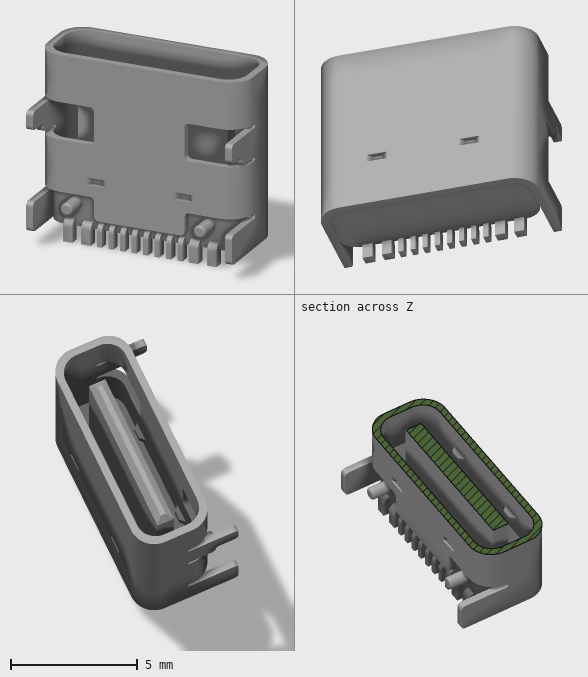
import cadquery as cq


SHELL_LENGTH = 8.94
SHELL_DEPTH = 3.22
SHELL_HEIGHT = 7.3
WALL = 0.3
OUTER_CORNER_RADIUS = 1.0
INNER_CORNER_RADIUS = 0.805
FRONT_LIP_HEIGHT = 0.5

WINDOW_INNER_X = 1.97
WINDOW_RADIUS = 0.2
WINDOW_REACH = 1.21
MID_WINDOW_BOTTOM = 3.71
MID_WINDOW_TOP = 5.3
LOW_WINDOW_TOP = 1.49
SLIT_END_RADIUS = 0.09

TAB_REACH = 0.99
TAB_RADIUS = 0.2
MID_TAB_TOP = 5.105
MID_TAB_BOTTOM = 4.3
LOW_TAB_TOP = 1.25

DIMPLE_X = 1.9
DIMPLE_BOTTOM = 1.985
DIMPLE_HEIGHT = 0.31
DIMPLE_TIP_WIDTH = 0.41
DIMPLE_PRESS = 0.2

HOUSING_BOTTOM = 0.04
HOUSING_TOP = LOW_WINDOW_TOP
HOUSING_BACK_GAP = 0.04
TONGUE_LENGTH = 6.49
TONGUE_THICKNESS = 0.715
TONGUE_TOP = 6.17
TONGUE_CHAMFER = 0.25

PEG_X = 2.89
PEG_Z = 1.05
PEG_RADIUS = 0.26
PEG_REACH = 0.65
PEG_ROUNDING = 0.1

TERMINAL_DROP = 0.6
TERMINAL_THICKNESS = 0.41
TERMINAL_SETBACK = 0.03
BEND_RADIUS = 0.3
SIGNAL_WIDTH = 0.215
SIGNAL_PITCH = 0.5
SIGNAL_COUNT = 8
POWER_WIDTH = 0.41
POWER_X = (2.33, 3.13)

SIDES = (-1, 1)
HALF_LENGTH = SHELL_LENGTH / 2
INNER_HALF_LENGTH = HALF_LENGTH - WALL
FRONT_Y = -SHELL_DEPTH / 2
INNER_FRONT_Y = FRONT_Y + WALL
INNER_BACK_Y = -INNER_FRONT_Y
WINDOW_END_Y = FRONT_Y + WINDOW_REACH
TAB_TIP_Y = FRONT_Y - TAB_REACH
MID_TAB_ROOT_BOTTOM = MID_TAB_BOTTOM - 2 * TAB_RADIUS


def block(x_range, y_range, z_range):
    """Box spanning the given (low, high) ranges."""
    size = [high - low for low, high in (x_range, y_range, z_range)]
    corner = (x_range[0], y_range[0], z_range[0])
    return cq.Workplane("XY").box(*size, centered=False).translate(corner)


def on_both_sides(body):
    """The body together with its mirror image across the YZ plane."""
    return body.union(body.mirror("YZ"))


def tube_blank(length, depth, height, radius):
    """Upright prism with four rounded vertical corners."""
    return cq.Workplane("XY").rect(length, depth).extrude(height).edges("|Z").fillet(radius)


def make_shell():
    outside = tube_blank(SHELL_LENGTH, SHELL_DEPTH, SHELL_HEIGHT, OUTER_CORNER_RADIUS)
    inside = tube_blank(
        2 * INNER_HALF_LENGTH, 2 * INNER_BACK_Y, SHELL_HEIGHT, INNER_CORNER_RADIUS
    )
    return outside.cut(inside)


def mid_window():
    opening = block(
        (WINDOW_INNER_X, INNER_HALF_LENGTH),
        (FRONT_Y, WINDOW_END_Y),
        (MID_WINDOW_BOTTOM, MID_WINDOW_TOP),
    )
    return opening.edges("|Y and <X").fillet(WINDOW_RADIUS)


def low_opening():
    """Both lower windows and the gap under the front wall, as one opening."""
    opening = (
        cq.Workplane("XZ", origin=(0, WINDOW_END_Y, 0))
        .moveTo(-INNER_HALF_LENGTH, 0)
        .lineTo(INNER_HALF_LENGTH, 0)
        .lineTo(INNER_HALF_LENGTH, LOW_WINDOW_TOP)
        .lineTo(WINDOW_INNER_X, LOW_WINDOW_TOP)
        .lineTo(WINDOW_INNER_X, FRONT_LIP_HEIGHT)
        .lineTo(-WINDOW_INNER_X, FRONT_LIP_HEIGHT)
        .lineTo(-WINDOW_INNER_X, LOW_WINDOW_TOP)
        .lineTo(-INNER_HALF_LENGTH, LOW_WINDOW_TOP)
        .close()
        .extrude(WINDOW_REACH)
    )
    corner_limit_x = WINDOW_INNER_X + WINDOW_RADIUS
    window_corners = cq.selectors.BoxSelector(
        (-corner_limit_x, FRONT_Y, 0),
        (corner_limit_x, WINDOW_END_Y, SHELL_HEIGHT),
    )
    return opening.edges("|Y").edges(window_corners).fillet(WINDOW_RADIUS)


def side_slit(bottom, top):
    """Slit through a side wall and its front corner, rounded at the closed end."""
    slit = block((INNER_HALF_LENGTH, HALF_LENGTH), (FRONT_Y, WINDOW_END_Y), (bottom, top))
    return slit.edges("|X and >Y").fillet(SLIT_END_RADIUS)


def mid_tab():
    """Tab narrowed by an S-shaped step at the front face of the shell."""
    r = TAB_RADIUS
    return (
        cq.Workplane("YZ", origin=(INNER_HALF_LENGTH, 0, 0))
        .moveTo(WINDOW_END_Y, MID_TAB_TOP)
        .lineTo(TAB_TIP_Y + r, MID_TAB_TOP)
        .tangentArcPoint((TAB_TIP_Y, MID_TAB_TOP - r), relative=False)
        .lineTo(TAB_TIP_Y, MID_TAB_BOTTOM + r)
        .tangentArcPoint((TAB_TIP_Y + r, MID_TAB_BOTTOM), relative=False)
        .lineTo(FRONT_Y - r, MID_TAB_BOTTOM)
        .tangentArcPoint((FRONT_Y, MID_TAB_BOTTOM - r), relative=False)
        .tangentArcPoint((FRONT_Y + r, MID_TAB_ROOT_BOTTOM), relative=False)
        .lineTo(WINDOW_END_Y, MID_TAB_ROOT_BOTTOM)
        .close()
        .extrude(WALL)
    )


def low_tab():
    plate = block((INNER_HALF_LENGTH, HALF_LENGTH), (TAB_TIP_Y, WINDOW_END_Y), (0, LOW_TAB_TOP))
    return plate.edges("|X and <Y").fillet(TAB_RADIUS)


def dimple_wedge(x, wall_y, depth):
    """Trapezoid with 45 degree flanks, running inward (+Y) from wall_y."""
    tip = DIMPLE_TIP_WIDTH / 2
    base = tip + depth
    return (
        cq.Workplane("XY", origin=(x, wall_y, DIMPLE_BOTTOM))
        .polyline([(-base, 0), (base, 0), (tip, depth), (-tip, depth)])
        .close()
        .extrude(DIMPLE_HEIGHT)
    )


def press_dimples(shell):
    for x in (-DIMPLE_X, DIMPLE_X):
        bump = dimple_wedge(x, INNER_FRONT_Y, DIMPLE_PRESS)
        pocket = dimple_wedge(x, FRONT_Y, DIMPLE_PRESS)
        shell = shell.union(bump).union(bump.mirror("XZ"))
        shell = shell.cut(pocket).cut(pocket.mirror("XZ"))
    return shell


def make_housing():
    depth = INNER_BACK_Y - INNER_FRONT_Y - HOUSING_BACK_GAP
    base = tube_blank(
        2 * INNER_HALF_LENGTH, depth, HOUSING_TOP - HOUSING_BOTTOM, INNER_CORNER_RADIUS
    ).translate((0, -HOUSING_BACK_GAP / 2, HOUSING_BOTTOM))
    tongue = (
        cq.Workplane("XY", origin=(0, 0, HOUSING_BOTTOM))
        .rect(TONGUE_LENGTH, TONGUE_THICKNESS)
        .extrude(TONGUE_TOP - HOUSING_BOTTOM)
        .faces(">Z")
        .chamfer(TONGUE_CHAMFER)
    )
    return base.union(tongue)


def make_peg():
    root_y = INNER_FRONT_Y + WALL
    return (
        cq.Workplane("XZ", origin=(PEG_X, root_y, PEG_Z))
        .circle(PEG_RADIUS)
        .extrude(root_y - FRONT_Y + PEG_REACH)
        .faces("<Y")
        .fillet(PEG_ROUNDING)
    )


def make_terminal(x, width):
    """Straight leg whose upper front edge is rounded by the bend into the housing."""
    front = FRONT_Y + TERMINAL_SETBACK
    bend_top = HOUSING_BOTTOM + BEND_RADIUS
    leg = block(
        (x - width / 2, x + width / 2),
        (front, front + TERMINAL_THICKNESS),
        (-TERMINAL_DROP, bend_top),
    )
    return leg.edges("|X and <Y and >Z").fillet(BEND_RADIUS)


shell = make_shell()
shell = shell.cut(on_both_sides(mid_window())).cut(low_opening())
slit_heights = [
    (MID_TAB_TOP, MID_WINDOW_TOP),
    (MID_WINDOW_BOTTOM, MID_TAB_ROOT_BOTTOM),
    (LOW_TAB_TOP, LOW_WINDOW_TOP),
]
for slit_bottom, slit_top in slit_heights:
    shell = shell.cut(on_both_sides(side_slit(slit_bottom, slit_top)))
shell = shell.union(on_both_sides(mid_tab())).union(on_both_sides(low_tab()))
shell = press_dimples(shell)

result = shell.union(make_housing()).union(on_both_sides(make_peg()))

for index in range(SIGNAL_COUNT):
    signal_x = (index - (SIGNAL_COUNT - 1) / 2) * SIGNAL_PITCH
    result = result.union(make_terminal(signal_x, SIGNAL_WIDTH))
for power_x in POWER_X:
    for side in SIDES:
        result = result.union(make_terminal(side * power_x, POWER_WIDTH))